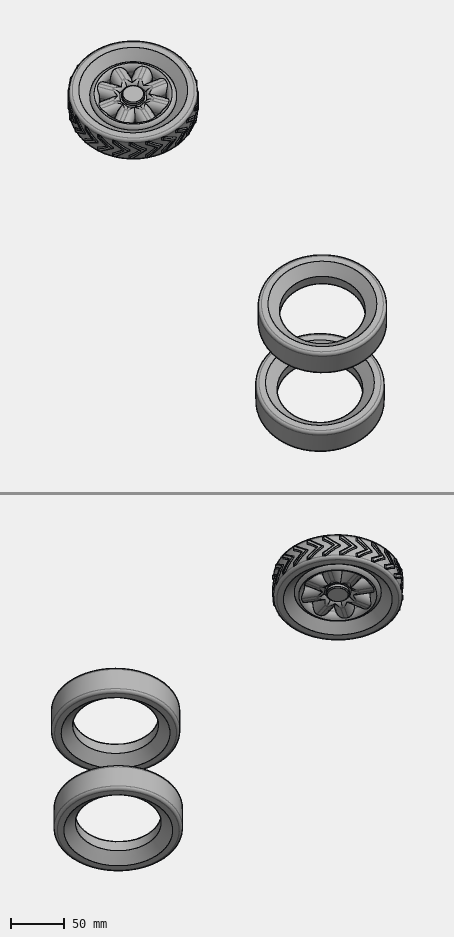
import cadquery as cq
import math

WIDTH = 30.0
OUTER_RADIUS = 60.0
BORE_RADIUS = 40.0
LIP_RADIUS = 51.0
MOUTH_DEPTH = 9.0
EDGE_FILLET = 3.0

TREAD_HEIGHT = 1.0
TREAD_COUNT = 24
TREAD_HALF_WIDTH = WIDTH / 2 - EDGE_FILLET
RIDGE_TAPER = 45
RIDGE_WIDTH = 3.5
RIDGE_REACH = 13.5
RIDGE_END_WIDTH = 1.0

RIM_OUTER_RADIUS = 41.5
RIM_INNER_RADIUS = 31.5
RIM_MID_RADIUS = (RIM_INNER_RADIUS + RIM_OUTER_RADIUS) / 2
RIM_HALF_HEIGHT = 10.0
RIM_SHOULDER = 2.5
RIM_ROUNDING = 7.5
SPOKE_COUNT = 8
SPOKE_WIDTH = 18.0
SPOKE_FLAT = 3.5
SPOKE_ROUNDING = (SPOKE_WIDTH - SPOKE_FLAT) / 2
SPOKE_HALF_HEIGHT = 8.5

CAP_RADIUS = 11.0
CAP_CHAMFER = 1.0
CAP_HALF_HEIGHT = 9.0
HOLLOW_SIDE = 18.5
HOLLOW_DEPTH = 3.5

UPPER_RING_PLACE = (392.5, 1.0, 122.0)
LOWER_RING_PLACE = (389.5, 0, 0)


def ring():
    """Plain ring with filleted outer edges and a conical mouth at each end of its bore."""
    half = WIDTH / 2
    throat = half - MOUTH_DEPTH
    section = (
        cq.Workplane("XZ")
        .moveTo(BORE_RADIUS, -throat)
        .lineTo(LIP_RADIUS, -half)
        .lineTo(OUTER_RADIUS, -half)
        .lineTo(OUTER_RADIUS, half)
        .lineTo(LIP_RADIUS, half)
        .lineTo(BORE_RADIUS, throat)
        .close()
    )
    body = section.revolve(360, (0, 0, 0), (0, 1, 0))
    outer_edges = cq.selectors.RadiusNthSelector(-1)
    return body.edges(outer_edges).fillet(EDGE_FILLET)


def tread_ridge():
    """One chevron ridge with tapered flanks on the -Y side, its tip pointing toward +X."""
    crest_radius = OUTER_RADIUS + TREAD_HEIGHT
    root_radius = OUTER_RADIUS - TREAD_HEIGHT
    ridge_depth = 3 * TREAD_HEIGHT
    half_width = TREAD_HALF_WIDTH - TREAD_HEIGHT
    tip = RIDGE_REACH / 2
    tail = -tip
    arm_end = tail + RIDGE_END_WIDTH
    notch = tip - RIDGE_WIDTH
    trim_height = half_width * (notch - tail) / (tip - arm_end)
    outline = [
        (tail, half_width),
        (arm_end, half_width),
        (tip, 0),
        (arm_end, -half_width),
        (tail, -half_width),
        (tail, -trim_height),
        (notch, 0),
        (tail, trim_height),
    ]
    prism = (
        cq.Workplane("XZ", origin=(0, -crest_radius, 0))
        .polyline(outline)
        .close()
        .extrude(-ridge_depth, taper=-RIDGE_TAPER)
    )
    shell = (
        cq.Workplane("XY")
        .circle(crest_radius)
        .circle(root_radius)
        .extrude(TREAD_HALF_WIDTH, both=True)
    )
    return prism.intersect(shell)


def rim_ring():
    """Outer ring of the rim, its rounded faces meeting in a crest at top and bottom."""
    section = (
        cq.Workplane("XZ")
        .moveTo(RIM_OUTER_RADIUS, -RIM_SHOULDER)
        .lineTo(RIM_OUTER_RADIUS, RIM_SHOULDER)
        .radiusArc((RIM_MID_RADIUS, RIM_HALF_HEIGHT), -RIM_ROUNDING)
        .radiusArc((RIM_INNER_RADIUS, RIM_SHOULDER), -RIM_ROUNDING)
        .lineTo(RIM_INNER_RADIUS, -RIM_SHOULDER)
        .radiusArc((RIM_MID_RADIUS, -RIM_HALF_HEIGHT), -RIM_ROUNDING)
        .radiusArc((RIM_OUTER_RADIUS, -RIM_SHOULDER), -RIM_ROUNDING)
        .close()
    )
    return section.revolve(360, (0, 0, 0), (0, 1, 0))


def spoke():
    """One spoke along +X: a bar with rounded flanks and a flat crest."""
    return (
        cq.Workplane("YZ")
        .rect(SPOKE_WIDTH, 2 * SPOKE_HALF_HEIGHT)
        .extrude(RIM_MID_RADIUS)
        .edges("|X")
        .fillet(SPOKE_ROUNDING)
    )


def hub_hollow():
    """Octagonal hollow around the cap with rounded sides, its corners on the spoke axes."""
    floor = SPOKE_HALF_HEIGHT - HOLLOW_DEPTH
    side_run = math.sqrt(SPOKE_ROUNDING**2 - (SPOKE_ROUNDING - HOLLOW_DEPTH) ** 2)
    floor_side = HOLLOW_SIDE - side_run
    trough = (
        cq.Workplane("YZ")
        .moveTo(-floor_side, floor)
        .lineTo(floor_side, floor)
        .radiusArc((HOLLOW_SIDE, SPOKE_HALF_HEIGHT), SPOKE_ROUNDING)
        .lineTo(-HOLLOW_SIDE, SPOKE_HALF_HEIGHT)
        .radiusArc((-floor_side, floor), SPOKE_ROUNDING)
        .close()
        .extrude(2 * HOLLOW_SIDE, both=True)
    )
    pitch = 360 / SPOKE_COUNT
    hollow = trough.rotate((0, 0, 0), (0, 0, 1), pitch / 2)
    for index in range(1, SPOKE_COUNT // 2):
        hollow = hollow.intersect(trough.rotate((0, 0, 0), (0, 0, 1), (index + 0.5) * pitch))
    return hollow


def make_rim():
    """Rim ring, spokes and hub as one solid with a hole for the cap."""
    body = rim_ring()
    for index in range(SPOKE_COUNT):
        body = body.union(spoke().rotate((0, 0, 0), (0, 0, 1), index * 360 / SPOKE_COUNT))
    hollow = hub_hollow()
    body = body.cut(hollow).cut(hollow.mirror("XY"))
    cap_hole = cq.Workplane("XY").circle(CAP_RADIUS).extrude(RIM_HALF_HEIGHT, both=True)
    return body.cut(cap_hole)


def make_tyre():
    """Ring with chevron tread, its bore relieved to seat the rim."""
    body = ring()
    ridge = tread_ridge()
    pitch = 360 / TREAD_COUNT
    for index in range(TREAD_COUNT):
        body = body.union(ridge.rotate((0, 0, 0), (0, 0, 1), (index + 0.5) * pitch))
    return body.cut(rim_ring())


def make_cap():
    """Round cap with chamfered ends through the middle of the hub."""
    pin = cq.Workplane("XY").circle(CAP_RADIUS).extrude(CAP_HALF_HEIGHT, both=True)
    return pin.faces("|Z").chamfer(CAP_CHAMFER)


tyre = make_tyre()
rim = make_rim()
cap = make_cap()
spare_rings = [ring().translate(place) for place in (UPPER_RING_PLACE, LOWER_RING_PLACE)]

result = cq.Compound.makeCompound(
    [tyre.val(), rim.val(), cap.val(), *[spare.val() for spare in spare_rings]]
)